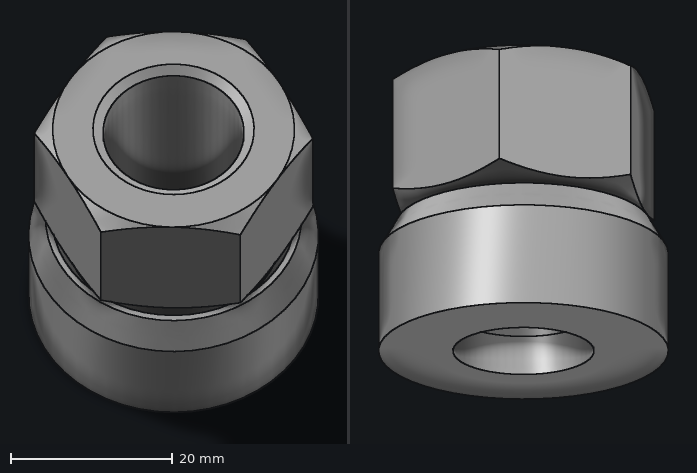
import cadquery as cq
import math

total_height = 35.0
bore_radius = 8.75

collar_radius = 18.0
collar_height = 16.5
collar_rim_radius = 15.9
shoulder_angle = 30.0
recess_radius = 15.1
floor_thickness = 5.0

across_flats = 30.0
neck_radius = 13.4
neck_top = 17.05
neck_base = 13.3
skirt_angle = 30.0
hex_chamfer_angle = 30.0
countersink_radius = 10.0
countersink_angle = 30.0

across_corners = across_flats / math.cos(math.radians(30))
corner_radius = across_corners / 2
hex_slope = math.tan(math.radians(hex_chamfer_angle))


def make_collar():
    """Cup with a sloped outer shoulder, a recess for the nut and a bore through the floor."""
    shoulder_rise = (collar_radius - collar_rim_radius) / math.tan(math.radians(shoulder_angle))
    profile = [
        (bore_radius, 0),
        (collar_radius, 0),
        (collar_radius, collar_height - shoulder_rise),
        (collar_rim_radius, collar_height),
        (recess_radius, collar_height),
        (recess_radius, floor_thickness),
        (bore_radius, floor_thickness),
    ]
    return cq.Workplane("XZ").polyline(profile).close().revolve(360, (0, 0, 0), (0, 1, 0))


def make_nut_envelope():
    """Turned shape of the nut: skirt filling the recess, neck, lower cone, chamfer and bore."""
    skirt_top = neck_base - (recess_radius - neck_radius) / math.tan(math.radians(skirt_angle))
    cone_top = neck_top + (corner_radius - neck_radius) * hex_slope
    chamfer_base = total_height - (corner_radius - across_flats / 2) * hex_slope
    countersink_depth = (countersink_radius - bore_radius) * math.tan(math.radians(countersink_angle))
    profile = [
        (bore_radius, floor_thickness),
        (recess_radius, floor_thickness),
        (recess_radius, skirt_top),
        (neck_radius, neck_base),
        (neck_radius, neck_top),
        (corner_radius, cone_top),
        (corner_radius, chamfer_base),
        (across_flats / 2, total_height),
        (countersink_radius, total_height),
        (bore_radius, total_height - countersink_depth),
    ]
    return cq.Workplane("XZ").polyline(profile).close().revolve(360, (0, 0, 0), (0, 1, 0))


def make_nut():
    """Turned shape cut from a stock that is round up to the neck and hexagonal above it.

    Two corners of the hexagon lie on the X axis.
    """
    round_stock = (
        cq.Workplane("XY")
        .workplane(offset=floor_thickness)
        .circle(recess_radius)
        .extrude(neck_base - floor_thickness)
    )
    hex_stock = (
        cq.Workplane("XY")
        .workplane(offset=neck_base)
        .polygon(6, across_corners)
        .extrude(total_height - neck_base)
    )
    return make_nut_envelope().intersect(round_stock.union(hex_stock)).clean()


collar = make_collar()
nut = make_nut()

result = cq.Compound.makeCompound([collar.val(), *nut.solids().vals()])